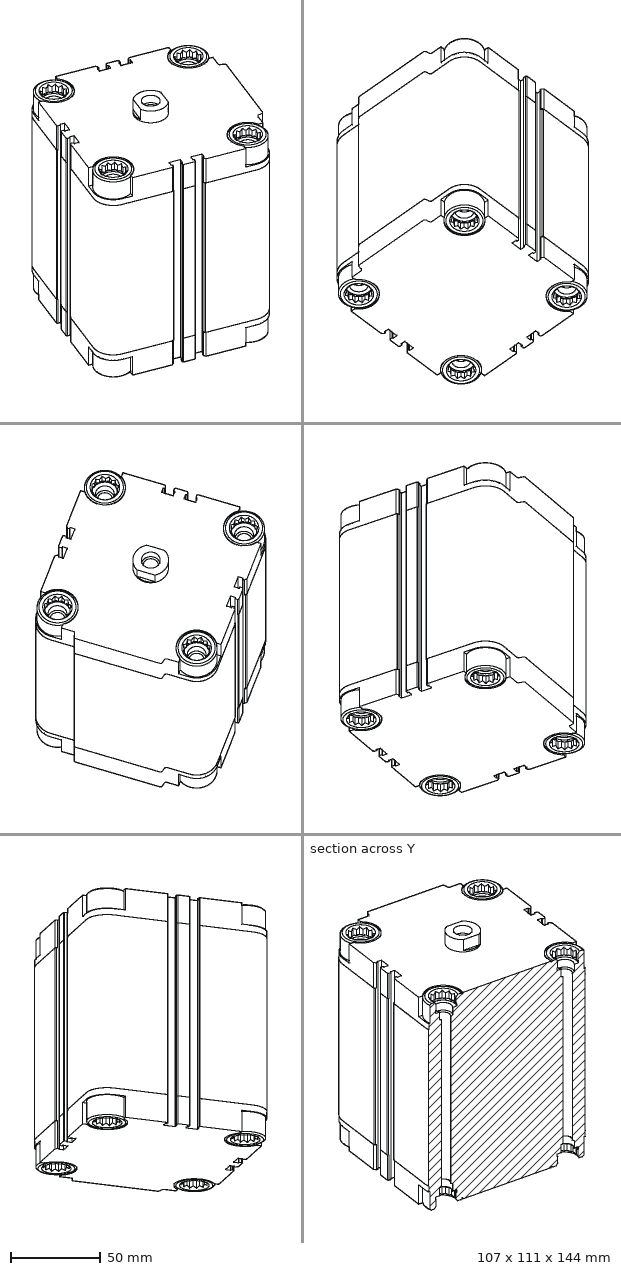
import cadquery as cq
import math

total_height = 144.0
housing_width = 107.0
housing_height = 136.0
cap_height = 16.5
cap_inset = 0.07
half_width = housing_width / 2

screw_offset = 41.2
corner_radius = half_width - screw_offset

ridge_height = 4.0
ridge_foot_half = 26.8
ridge_top_half = 25.9
ridge_fillet = 1.2
barrel_foot_fillet = 1.7
cap_foot_fillet = 1.2
pick_margin = 0.1

slot_spacing = 13.2
slot_depth = 5.2
slot_width = 6.9
neck_width = 5.2
lip_thickness = 2.3
lip_chamfer = 0.6
cap_side_lip_chamfer = 1.2

boss_diameter = 23.0
boss_chamfer_width = 1.2
boss_chamfer_depth = 0.9
notch_depth = 12.7
notch_reach = 6.5

socket_points = 12
socket_entry_diameter = 16.5
socket_diameter = 15.4
socket_root_radius = 6.9
socket_entry_depth = 2.2
socket_depth = 6.0
socket_floor_depth = 7.5
screw_hole_diameter = 8.4

rod_diameter = 20.0
rod_seat_depth = 28.8
rod_flat_distance = 17.0
rod_collar_height = 1.0
rod_hole_diameter = 8.5
rod_hole_depth = 20.2

thread_mouth_diameter = 10.5
thread_mouth_depth = 5.0
drill_point_angle = 120.0


def cone(radius_low, radius_high, z_low, z_high):
    """Truncated cone on the Z axis, or a full cone where one radius is zero."""
    return cq.Workplane(cq.Solid.makeCone(
        radius_low, radius_high, z_high - z_low, cq.Vector(0, 0, z_low)))


def drill_cone_depth(radius_change):
    """Height of a cone left by a drill point over the given change of radius."""
    return radius_change / math.tan(math.radians(drill_point_angle / 2))


def thread_mouth(hole_radius, top):
    """Plain counterbore below the height top, with a drill cone down to the thread."""
    mouth_radius = thread_mouth_diameter / 2
    bottom = top - thread_mouth_depth
    bore = cq.Workplane("XY", origin=(0, 0, bottom)).circle(mouth_radius).extrude(thread_mouth_depth)
    lead_depth = drill_cone_depth(mouth_radius - hole_radius)
    return bore.union(cone(hole_radius, mouth_radius, bottom - lead_depth, bottom))


def with_ridge(block, face, z_low, height, foot_fillet):
    """Add the sensor ridge to the +Y face of a block, with rounded top and foot edges."""
    ridge = (
        cq.Workplane("XY", origin=(0, 0, z_low))
        .polyline([
            (-ridge_foot_half, 0),
            (-ridge_foot_half, face),
            (-ridge_top_half, face + ridge_height),
            (ridge_top_half, face + ridge_height),
            (ridge_foot_half, face),
            (ridge_foot_half, 0),
        ])
        .close()
        .extrude(height)
    )
    joined = block.union(ridge)
    joined = joined.edges("|Z and >Y").fillet(ridge_fillet)
    foot_edges = cq.selectors.BoxSelector(
        (-ridge_foot_half - pick_margin, face - pick_margin, z_low),
        (ridge_foot_half + pick_margin, face + pick_margin, z_low + height))
    return joined.edges("|Z").edges(foot_edges).fillet(foot_fillet)


def t_slot(face, offset, outer_chamfer, z_low, height):
    """T-slot opening through the -Y face; offset is the X of its centre line."""
    outward = math.copysign(1, offset)
    half_neck = neck_width / 2
    half_slot = slot_width / 2
    bottom = -half_width + slot_depth
    lip = -half_width + lip_thickness
    profile = [
        (-half_neck - lip_chamfer, -face),
        (-half_neck, -face + lip_chamfer),
        (-half_neck, lip),
        (-half_slot, lip),
        (-half_slot, bottom),
        (half_slot, bottom),
        (half_slot, lip),
        (half_neck, lip),
        (half_neck, -face + outer_chamfer),
        (half_neck + outer_chamfer, -face),
    ]
    points = [(offset + outward * x, y) for x, y in profile]
    return cq.Workplane("XY", origin=(0, 0, z_low)).polyline(points).close().extrude(height)


def housing_section(z_low, height, inset, foot_fillet, side_lip_chamfer):
    """One stretch of the housing: rounded square with the ridge and the T-slots."""
    face = half_width - inset
    block = (
        cq.Workplane("XY", origin=(0, 0, z_low))
        .rect(2 * face, 2 * face)
        .extrude(height)
        .edges("|Z")
        .fillet(corner_radius - inset)
    )
    section = with_ridge(block, face, z_low, height, foot_fillet)
    for angle, outer_chamfer in ((0, lip_chamfer), (90, side_lip_chamfer), (-90, side_lip_chamfer)):
        for offset in (-slot_spacing / 2, slot_spacing / 2):
            slot = t_slot(face, offset, outer_chamfer, z_low, height)
            section = section.cut(slot.rotate((0, 0, 0), (0, 0, 1), angle))
    return section


def corner_notch():
    """Clearance outside a boss in the +X +Y corner, below an end face at Z = 0."""
    reach = corner_radius + notch_reach
    centre = (corner_radius - notch_reach) / 2
    block = (
        cq.Workplane("XY")
        .center(centre, centre)
        .rect(reach, reach)
        .extrude(-notch_depth)
    )
    boss = cq.Workplane("XY").circle(boss_diameter / 2).extrude(-notch_depth)
    return block.cut(boss)


def boss_edge_groove():
    """Bevel on the rim of a boss, which leaves a V groove where the cap surrounds it."""
    radius = boss_diameter / 2
    return (
        cq.Workplane("XZ")
        .polyline([(radius - boss_chamfer_width, 0), (radius, -boss_chamfer_depth), (radius, 0)])
        .close()
        .revolve(360, (0, 0, 0), (0, 1, 0))
    )


def screw_socket():
    """Twelve-point socket, its relief and thread mouth below an end face at Z = 0."""
    star = []
    for i in range(2 * socket_points):
        radius = socket_diameter / 2 if i % 2 == 0 else socket_root_radius
        angle = math.pi * i / socket_points
        star.append((radius * math.cos(angle), radius * math.sin(angle)))
    socket = cq.Workplane("XY").polyline(star).close().extrude(-socket_depth)
    relief = (
        cq.Workplane("XY", origin=(0, 0, -socket_floor_depth))
        .circle(socket_diameter / 2)
        .extrude(socket_floor_depth - socket_depth)
    )
    entry = cone(socket_root_radius, socket_entry_diameter / 2, -socket_entry_depth, 0)
    mouth = thread_mouth(screw_hole_diameter / 2, -socket_floor_depth)
    return socket.union(relief).union(entry).union(mouth)


def make_housing():
    """Barrel with both end caps, bored for the piston rod and the corner screws."""
    barrel_height = housing_height - 2 * cap_height
    housing = housing_section(cap_height, barrel_height, 0, barrel_foot_fillet, lip_chamfer)
    for z_low in (0, housing_height - cap_height):
        cap = housing_section(z_low, cap_height, cap_inset, cap_foot_fillet, cap_side_lip_chamfer)
        housing = housing.union(cap)

    end_cuts = [corner_notch(), boss_edge_groove(), screw_socket()]
    for quarter in range(4):
        for end_cut in end_cuts:
            top_cut = (
                end_cut.translate((screw_offset, screw_offset, housing_height))
                .rotate((0, 0, 0), (0, 0, 1), 90 * quarter)
            )
            bottom_cut = top_cut.mirror("XY", (0, 0, housing_height / 2))
            housing = housing.cut(top_cut).cut(bottom_cut)

    screw_holes = (
        cq.Workplane("XY")
        .rect(2 * screw_offset, 2 * screw_offset, forConstruction=True)
        .vertices()
        .circle(screw_hole_diameter / 2)
        .extrude(housing_height)
    )
    rod_seat = (
        cq.Workplane("XY", origin=(0, 0, housing_height))
        .circle(rod_diameter / 2)
        .extrude(-rod_seat_depth)
    )
    return housing.cut(screw_holes).cut(rod_seat)


def make_rod():
    """Piston rod with two wrench flats and a tapped hole in its end."""
    rod_bottom = housing_height - rod_seat_depth
    rod = (
        cq.Workplane("XY", origin=(0, 0, rod_bottom))
        .circle(rod_diameter / 2)
        .extrude(total_height - rod_bottom)
    )
    flats_bottom = housing_height + rod_collar_height
    flats = (
        cq.Workplane("XY", origin=(0, 0, flats_bottom))
        .rect(2 * rod_diameter, 2 * rod_diameter)
        .rect(2 * rod_diameter, rod_flat_distance)
        .extrude(total_height - flats_bottom)
    )
    hole_radius = rod_hole_diameter / 2
    hole_bottom = total_height - rod_hole_depth
    hole = (
        cq.Workplane("XY", origin=(0, 0, hole_bottom))
        .circle(hole_radius)
        .extrude(rod_hole_depth)
    )
    point_depth = drill_cone_depth(hole_radius)
    drill_point = cone(0, hole_radius, hole_bottom - point_depth, hole_bottom)
    mouth = thread_mouth(hole_radius, total_height)
    return rod.cut(flats).cut(hole).cut(drill_point).cut(mouth)


housing = make_housing()
rod = make_rod()
result = cq.Compound.makeCompound([housing.val(), rod.val()])